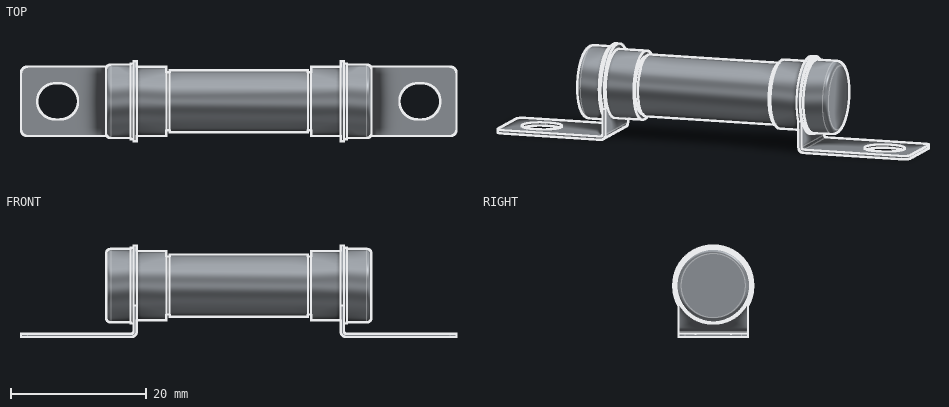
import cadquery as cq

overall_length = 64.35
overall_height = 13.55

cap_diameter = 10.89
collar_diameter = 11.25
ring_diameter = 11.85
ferrule_diameter = 10.26
body_diameter = 9.21
neck_diameter = 8.6

cap_end = 19.6
ring_inner_face = 15.03
ferrule_inner_end = 10.7
body_end = 10.2
cap_edge_radius = 0.7
collar_width = 0.4

sheet_thickness = 0.52
bend_inner_radius = 0.35
tab_width = 10.3
tab_corner_radius = 1.0
slot_length = 6.0
slot_width = 5.3
slot_end_distance = 5.43

axis_height = overall_height - ring_diameter / 2
tab_end = overall_length / 2
ring_outer_face = ring_inner_face + sheet_thickness
collar_outer_face = ring_outer_face + collar_width
bend_outer_radius = bend_inner_radius + sheet_thickness


def cylinder(diameter, start, end):
    """Solid cylinder on the part axis, from X = start to X = end."""
    profile = cq.Workplane("YZ", origin=(start, 0, axis_height)).circle(diameter / 2)
    return profile.extrude(end - start)


def make_body():
    """Central tube, with a thinner neck running into the ferrule at each end."""
    tube = cylinder(body_diameter, -body_end, body_end)
    neck = cylinder(neck_diameter, -ferrule_inner_end, ferrule_inner_end)
    return tube.union(neck)


def make_end_fitting():
    """Ferrule, ring, collar and rounded cap at the +X end."""
    cap = cylinder(cap_diameter, ring_inner_face, cap_end)
    cap = cap.faces(">X").edges().fillet(cap_edge_radius)
    fitting = cap.union(cylinder(ferrule_diameter, ferrule_inner_end, ring_outer_face))
    fitting = fitting.union(cylinder(ring_diameter, ring_inner_face, ring_outer_face))
    return fitting.union(cylinder(collar_diameter, ring_outer_face, collar_outer_face))


def make_tab():
    """Bent sheet tab at the +X end, standing up to the axis and reaching outward."""
    profile = (
        cq.Workplane("XZ")
        .moveTo(tab_end, 0)
        .lineTo(ring_inner_face + bend_outer_radius, 0)
        .radiusArc((ring_inner_face, bend_outer_radius), bend_outer_radius)
        .lineTo(ring_inner_face, axis_height)
        .lineTo(ring_outer_face, axis_height)
        .lineTo(ring_outer_face, bend_outer_radius)
        .radiusArc((ring_inner_face + bend_outer_radius, sheet_thickness), -bend_inner_radius)
        .lineTo(tab_end, sheet_thickness)
        .close()
    )
    tab = profile.extrude(tab_width / 2, both=True)
    tab = tab.edges("|Z and >X").fillet(tab_corner_radius)
    slot = (
        cq.Workplane("XY")
        .center(tab_end - slot_end_distance, 0)
        .slot2D(slot_length, slot_width)
        .extrude(sheet_thickness)
    )
    return tab.cut(slot)


end_assembly = make_end_fitting().union(make_tab())
result = make_body().union(end_assembly).union(end_assembly.mirror("YZ"))